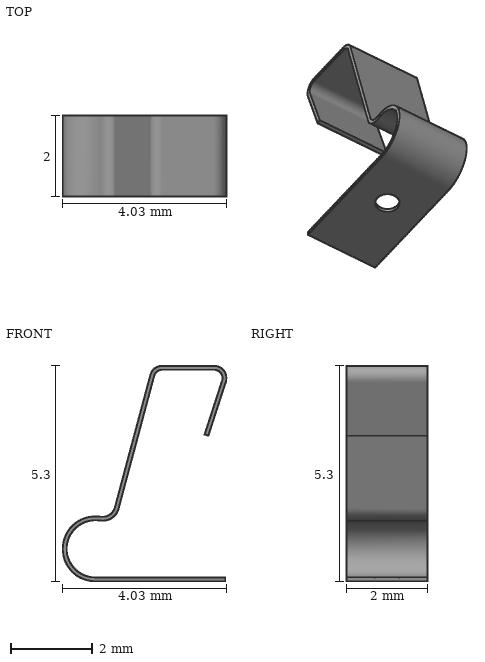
import cadquery as cq
import math

total_width = 4.03
total_height = 5.3
strip_depth = 2.0
thickness = 0.1

base_end_x = 4.0
loop_outer_radius = 0.8
loop_overturn = 4.0
loop_flat_length = 0.11
hole_diameter = 0.6
hole_x = base_end_x / 2

bend_radius_small = 0.2
bend_radius_large = bend_radius_small + thickness
arm_lean = 15.0
lip_lean = 18.0
lip_length = 1.395

half_thickness = thickness / 2
loop_radius = loop_outer_radius - half_thickness
foot_radius = bend_radius_large + half_thickness
top_radius = bend_radius_small + half_thickness

loop_turn = 180 + loop_overturn
foot_turn = loop_overturn + 90 - arm_lean
shoulder_turn = 90 - arm_lean
lip_turn = 90 + lip_lean
sin_lean = math.sin(math.radians(arm_lean))
cos_lean = math.cos(math.radians(arm_lean))
sin_over = math.sin(math.radians(loop_overturn))
cos_over = math.cos(math.radians(loop_overturn))

loop_rise = loop_radius * (1 + cos_over) - loop_flat_length * sin_over
foot_rise = foot_radius * (cos_over - sin_lean)
shoulder_rise = top_radius * (1 - sin_lean)
arm_length = (total_height - thickness - loop_rise - foot_rise - shoulder_rise) / cos_lean

loop_run = loop_radius * sin_over + loop_flat_length * cos_over
foot_run = foot_radius * (sin_over + cos_lean)
shoulder_run = top_radius * cos_lean
top_start_x = loop_outer_radius + loop_run + foot_run + arm_length * sin_lean + shoulder_run
top_length = total_width - bend_radius_large - top_start_x


def straight(x, z, heading, length):
    """Return a flat length of strip and the place where it ends."""
    direction = math.radians(heading)
    dx = math.cos(direction)
    dz = math.sin(direction)
    end_x = x + length * dx
    end_z = z + length * dz
    side_x = -half_thickness * dz
    side_z = half_thickness * dx
    profile = (
        cq.Workplane("XZ")
        .moveTo(x + side_x, z + side_z)
        .lineTo(end_x + side_x, end_z + side_z)
        .lineTo(end_x - side_x, end_z - side_z)
        .lineTo(x - side_x, z - side_z)
        .close()
    )
    return profile.extrude(strip_depth / 2, both=True), end_x, end_z, heading


def bend(x, z, heading, turn, radius):
    """Return a round bend (positive turn is to the left) and the place where it ends."""
    sign = math.copysign(1, turn)
    start_angle = heading - sign * 90
    center_x = x - radius * math.cos(math.radians(start_angle))
    center_z = z - radius * math.sin(math.radians(start_angle))

    def point(distance, fraction):
        angle = math.radians(start_angle + fraction * turn)
        return center_x + distance * math.cos(angle), center_z + distance * math.sin(angle)

    inner = radius - half_thickness
    outer = radius + half_thickness
    profile = (
        cq.Workplane("XZ")
        .moveTo(*point(outer, 0))
        .threePointArc(point(outer, 0.5), point(outer, 1))
        .lineTo(*point(inner, 1))
        .threePointArc(point(inner, 0.5), point(inner, 0))
        .close()
    )
    body = profile.extrude(strip_depth / 2, both=True)
    return body, *point(radius, 1), heading + turn


strip, *place = straight(base_end_x, half_thickness, 180, base_end_x - loop_outer_radius)
steps = [
    (bend, -loop_turn, loop_radius),
    (straight, loop_flat_length),
    (bend, foot_turn, foot_radius),
    (straight, arm_length),
    (bend, -shoulder_turn, top_radius),
    (straight, top_length),
    (bend, -lip_turn, top_radius),
    (straight, lip_length),
]
for shape, *sizes in steps:
    piece, *place = shape(*place, *sizes)
    strip = strip.union(piece)

hole = cq.Workplane("XY").center(hole_x, 0).circle(hole_diameter / 2).extrude(thickness)
result = strip.cut(hole)